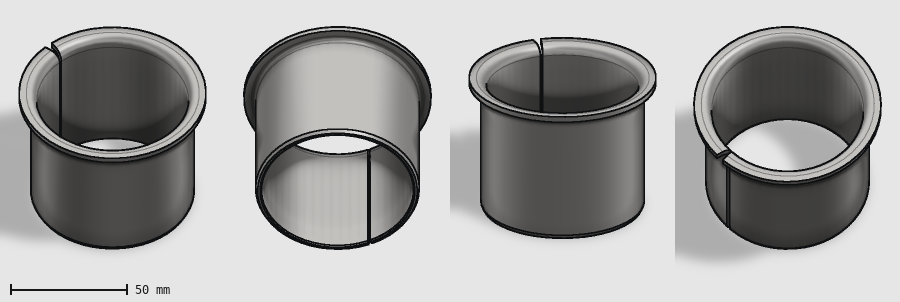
import cadquery as cq
import math

height = 60.0
bore_radius = 32.5
wall = 2.5
flange_radius = 40.0
outer_bend_radius = 2.0
chamfer_height = 1.8
chamfer_angle = 25.0
bore_chamfer = 0.6
slit_gap_at_bore = 1.0
slit_half_angle = 10.0

sleeve_radius = bore_radius + wall
inner_bend_radius = outer_bend_radius + wall
bend_center_radius = sleeve_radius + outer_bend_radius
bend_center_z = height - inner_bend_radius
foot_radius = sleeve_radius - chamfer_height * math.tan(math.radians(chamfer_angle))


def bend_midpoint(radius):
    """Point halfway round a bend arc, in the radius-height plane."""
    offset = radius * math.sqrt(0.5)
    return bend_center_radius - offset, bend_center_z + offset


def flanged_sleeve():
    """Sleeve whose wall bends outward into a flange, revolved about Z.

    The profile lies on the -X side, so the seam of the revolved faces falls inside the slit.
    """
    section_plane = cq.Plane(origin=(0, 0, 0), xDir=(-1, 0, 0), normal=(0, 1, 0))
    profile = (
        cq.Workplane(section_plane)
        .moveTo(bore_radius, bore_chamfer)
        .lineTo(bore_radius + bore_chamfer, 0)
        .lineTo(foot_radius, 0)
        .lineTo(sleeve_radius, chamfer_height)
        .lineTo(sleeve_radius, bend_center_z)
        .threePointArc(bend_midpoint(outer_bend_radius), (bend_center_radius, height - wall))
        .lineTo(flange_radius, height - wall)
        .lineTo(flange_radius, height)
        .lineTo(bend_center_radius, height)
        .threePointArc(bend_midpoint(inner_bend_radius), (bore_radius, bend_center_z))
        .close()
    )
    return profile.revolve(360, (0, 0, 0), (0, 1, 0))


def tapered_slit():
    """Full-height wedge on the -X side that widens outward from the bore."""
    slope = math.tan(math.radians(slit_half_angle))
    apex_x = -bore_radius + slit_gap_at_bore / 2 / slope
    outer_x = -flange_radius - wall
    outer_half_width = (apex_x - outer_x) * slope
    outline = [
        (apex_x, 0),
        (outer_x, outer_half_width),
        (outer_x, -outer_half_width),
    ]
    return cq.Workplane("XY").polyline(outline).close().extrude(height)


result = flanged_sleeve().cut(tapered_slit())